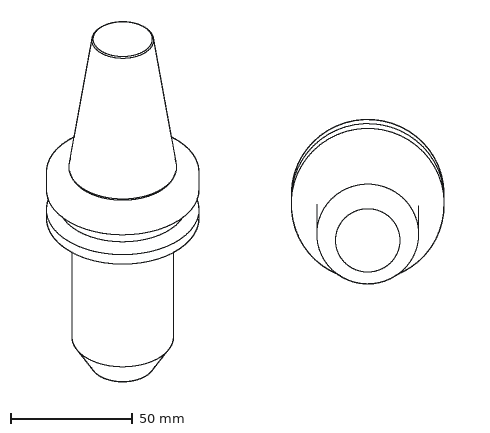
import cadquery as cq
import math


gauge_radius = 44.45 / 2
taper_length = 65.4
taper_ratio = 7 / 24
taper_end_chamfer = 0.5

relief_radius = 21.75
relief_fillet = 1.0

flange_radius = 31.5
flange_top = -2.0
flange_bottom = -27.0
flange_top_round = 0.6
flange_bottom_round = 1.0
groove_floor_radius = 26.5
groove_center = -16.6
groove_floor_width = 4.35
groove_wall_angle = 30.0

projection = 100.0
nose_radius = 21.0
nose_fillet = 2.0
nose_tip_radius = 13.3
nose_cone_angle = 30.0

IN = (-1, 0)
OUT = (1, 0)
UP = (0, 1)
DOWN = (0, -1)

taper_end_radius = gauge_radius - taper_length * taper_ratio / 2
chamfer_base_radius = taper_end_radius + taper_end_chamfer * taper_ratio / 2
nose_cone_length = (nose_radius - nose_tip_radius) / math.tan(math.radians(nose_cone_angle))
groove_floor_top = groove_center + groove_floor_width / 2
groove_floor_bottom = groove_center - groove_floor_width / 2
groove_wall_height = (flange_radius - groove_floor_radius) * math.tan(math.radians(groove_wall_angle))
arc_inset = 1 - math.sqrt(0.5)


def add_quarter_round(outline, corner, radius, start_direction, end_direction):
    """Line to the start of a quarter round, then round the square corner.

    The directions point from the corner along the two sides that meet there.
    """

    def offset(along_start, along_end):
        return (
            corner[0] + radius * (along_start * start_direction[0] + along_end * end_direction[0]),
            corner[1] + radius * (along_start * start_direction[1] + along_end * end_direction[1]),
        )

    return outline.lineTo(*offset(1, 0)).threePointArc(offset(arc_inset, arc_inset), offset(0, 1))


def make_profile():
    """Half section in the XZ plane, from the small end of the taper down to the nose tip."""
    outline = cq.Workplane("XZ").moveTo(0, taper_length)

    outline = outline.lineTo(taper_end_radius - taper_end_chamfer, taper_length)
    outline = outline.lineTo(chamfer_base_radius, taper_length - taper_end_chamfer)
    outline = outline.lineTo(gauge_radius, 0)

    outline = add_quarter_round(outline, (relief_radius, flange_top), relief_fillet, UP, OUT)

    outline = add_quarter_round(outline, (flange_radius, flange_top), flange_top_round, IN, DOWN)
    outline = outline.lineTo(flange_radius, groove_floor_top + groove_wall_height)
    outline = outline.lineTo(groove_floor_radius, groove_floor_top)
    outline = outline.lineTo(groove_floor_radius, groove_floor_bottom)
    outline = outline.lineTo(flange_radius, groove_floor_bottom - groove_wall_height)
    outline = add_quarter_round(outline, (flange_radius, flange_bottom), flange_bottom_round, UP, IN)

    outline = add_quarter_round(outline, (nose_radius, flange_bottom), nose_fillet, OUT, DOWN)
    outline = outline.lineTo(nose_radius, nose_cone_length - projection)
    outline = outline.lineTo(nose_tip_radius, -projection)
    return outline.lineTo(0, -projection).close()


result = make_profile().revolve(360, (0, 0, 0), (0, 1, 0))